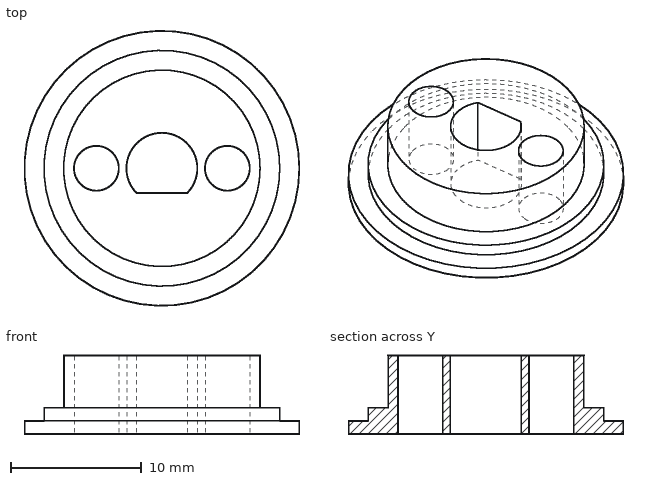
import cadquery as cq

flange_diameter = 21.0
step_diameter = 18.0
hub_diameter = 15.0
total_height = 6.0
flange_thickness = 1.0
step_thickness = flange_thickness
hub_height = total_height - flange_thickness - step_thickness

bore_diameter = 5.4
flat_distance = 1.87

side_hole_diameter = 3.4
side_hole_spacing = 10.0


def make_body():
    """Three concentric discs stacked on the XY plane."""
    return (
        cq.Workplane("XY")
        .circle(flange_diameter / 2).extrude(flange_thickness)
        .faces(">Z").workplane()
        .circle(step_diameter / 2).extrude(step_thickness)
        .faces(">Z").workplane()
        .circle(hub_diameter / 2).extrude(hub_height)
    )


def make_bore():
    """Full-height cylinder trimmed by the flat."""
    cylinder = cq.Workplane("XY").circle(bore_diameter / 2).extrude(total_height)
    kept_side = (
        cq.Workplane("XY")
        .rect(bore_diameter, bore_diameter)
        .extrude(total_height)
        .translate((0, bore_diameter / 2 - flat_distance, 0))
    )
    return cylinder.intersect(kept_side)


def make_side_holes():
    """Two through holes on the X axis."""
    half_spacing = side_hole_spacing / 2
    return (
        cq.Workplane("XY")
        .pushPoints([(-half_spacing, 0), (half_spacing, 0)])
        .circle(side_hole_diameter / 2)
        .extrude(total_height)
    )


result = make_body().cut(make_bore()).cut(make_side_holes())